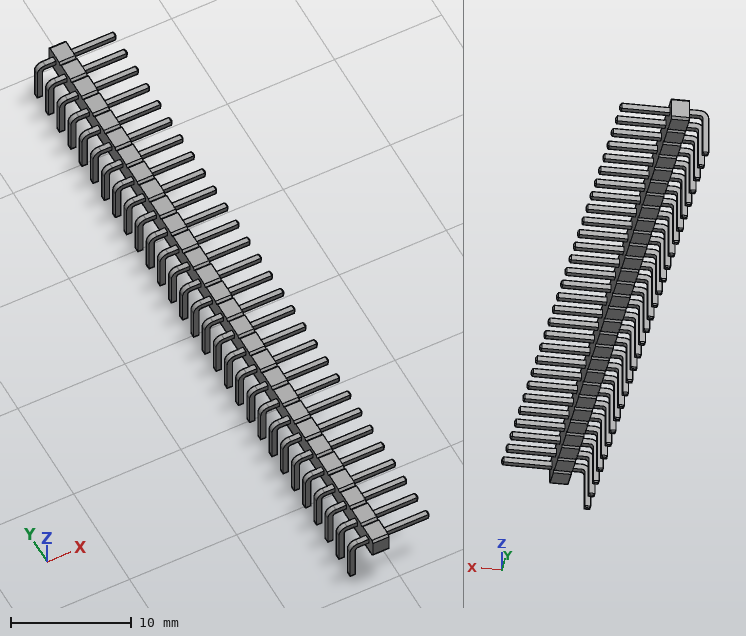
import cadquery as cq

pin_count = 29
row_length = 58.0
pitch = row_length / pin_count
overall_width = 7.4
overall_height = 4.65

body_width = 1.5
body_height = 2.0
body_offset = 1.75
body_chamfer = 0.2

pin_size = 0.5
pin_drop = 0.75
bend_outer_radius = 0.75
bend_inner_radius = bend_outer_radius - pin_size
tip_chamfer = 0.1

pin_top = pin_size / 2 - pin_drop
pin_bottom = pin_top - pin_size


def make_block(y):
    """One insulator block, chamfered along its four X edges."""
    return (
        cq.Workplane("XY")
        .box(body_width, pitch, body_height, centered=(False, True, False))
        .edges("|X")
        .chamfer(body_chamfer)
        .translate((body_offset, y, -body_height))
    )


def make_pin(y):
    """One square pin bent down at its -X end, with both tips chamfered."""
    return (
        cq.Workplane("XZ")
        .moveTo(0, -overall_height)
        .lineTo(0, pin_top - bend_outer_radius)
        .radiusArc((bend_outer_radius, pin_top), bend_outer_radius)
        .lineTo(overall_width, pin_top)
        .lineTo(overall_width, pin_bottom)
        .lineTo(bend_outer_radius, pin_bottom)
        .radiusArc((pin_size, pin_top - bend_outer_radius), -bend_inner_radius)
        .lineTo(pin_size, -overall_height)
        .close()
        .extrude(pin_size / 2, both=True)
        .faces(">X or <Z")
        .chamfer(tip_chamfer)
        .translate((0, y, 0))
    )


blocks = []
pins = []
for index in range(pin_count):
    pin_y = (index + 0.5) * pitch - row_length / 2
    blocks.append(make_block(pin_y).val())
    pins.append(make_pin(pin_y).val())

result = cq.Workplane(blocks[0].fuse(*blocks[1:], *pins)).clean()